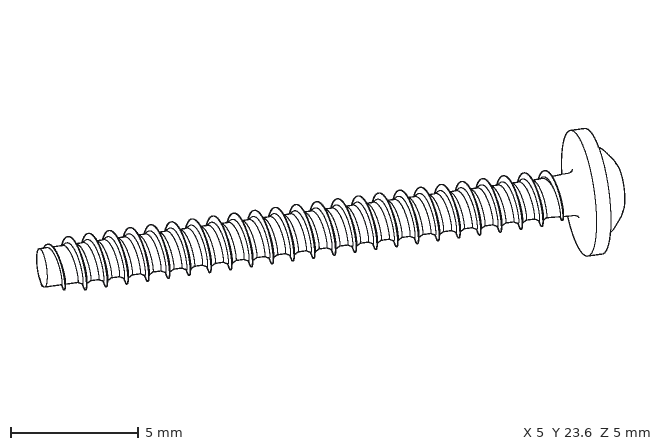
import cadquery as cq
import math

TOTAL_LENGTH = 23.6

FLANGE_DIAMETER = 5.0
FLANGE_THICKNESS = 0.6
HEAD_HEIGHT = 1.6
DOME_BASE_DIAMETER = 3.96
DOME_TOP_DIAMETER = 1.94
DOME_BULGE = 0.12
DOME_FILLET = 0.12

CORE_DIAMETER = 1.53
NECK_DIAMETER = 1.68
NECK_FILLET = 0.35
NECK_LENGTH = 0.57
TAPER_LENGTH = 1.18

THREAD_DIAMETER = 2.2
PITCH = 0.85
CREST_WIDTH = 0.02
SHOULDER_WIDTH = 0.17
SHOULDER_HEIGHT = 0.1
ROOT_WIDTH = 0.61
ROOT_EMBED = 0.02
RUNOUT_TURNS = 1.75
THREAD_START = -0.21
THREAD_END = 22.11
THREAD_SECTIONS = 23

ORIGIN = cq.Vector(0, 0, 0)
X_AXIS = cq.Vector(1, 0, 0)
Z_AXIS = cq.Vector(0, 0, 1)

underside_y = TOTAL_LENGTH - HEAD_HEIGHT
taper_top_y = underside_y - NECK_LENGTH
flange_top_y = underside_y + FLANGE_THICKNESS
core_radius = CORE_DIAMETER / 2
neck_radius = NECK_DIAMETER / 2
thread_depth = (THREAD_DIAMETER - CORE_DIAMETER) / 2


def make_body():
    """Revolve the head, neck and core about the Y axis."""
    dome_top = (DOME_TOP_DIAMETER / 2, TOTAL_LENGTH)
    dome_base = (DOME_BASE_DIAMETER / 2, flange_top_y)
    body = (
        cq.Workplane("XY")
        .lineTo(core_radius, 0)
        .lineTo(core_radius, taper_top_y - TAPER_LENGTH)
        .lineTo(neck_radius, taper_top_y)
        .lineTo(neck_radius, underside_y - NECK_FILLET)
        .radiusArc((neck_radius + NECK_FILLET, underside_y), NECK_FILLET)
        .lineTo(FLANGE_DIAMETER / 2, underside_y)
        .lineTo(FLANGE_DIAMETER / 2, flange_top_y)
        .lineTo(*dome_base)
        .sagittaArc(dome_top, -DOME_BULGE)
        .lineTo(0, TOTAL_LENGTH)
        .close()
        .revolve(360, (0, 0), (0, 1))
    )
    reach = (DOME_BASE_DIAMETER + FLANGE_DIAMETER) / 4
    dome_base_edge = cq.selectors.BoxSelector(
        (-reach, flange_top_y - DOME_FILLET, -reach),
        (reach, flange_top_y + DOME_FILLET, reach),
        boundingbox=True,
    )
    return body.edges(dome_base_edge).fillet(DOME_FILLET)


def helix(start_radius, end_radius, start, end):
    """Right-handed helical edge about Z from height start to end, its radius changing evenly."""
    height = end - start
    base = start
    if start_radius == end_radius:
        wire = cq.Wire.makeHelix(PITCH, height, start_radius)
    else:
        slope = math.atan2(abs(end_radius - start_radius), height)
        stretch = 1 / math.cos(slope)
        small_radius = min(start_radius, end_radius)
        wire = cq.Wire.makeHelix(PITCH * stretch, height * stretch, small_radius, angle=math.degrees(slope))
    if end_radius < start_radius:
        wire = wire.rotate(ORIGIN, X_AXIS, 180)
        base = end
    return wire.rotate(ORIGIN, Z_AXIS, 360 * base / PITCH).translate(Z_AXIS * base).Edges()[0]


def make_thread():
    """Build the thread about Z from height 0, with a run-out at each end, as one solid."""
    profile = [
        (core_radius - ROOT_EMBED, -ROOT_WIDTH / 2),
        (core_radius + SHOULDER_HEIGHT, -SHOULDER_WIDTH / 2),
        (core_radius + thread_depth, -CREST_WIDTH / 2),
        (core_radius + thread_depth, CREST_WIDTH / 2),
        (core_radius + SHOULDER_HEIGHT, SHOULDER_WIDTH / 2),
        (core_radius - ROOT_EMBED, ROOT_WIDTH / 2),
    ]
    length = THREAD_END - THREAD_START
    runout = RUNOUT_TURNS * PITCH
    section = (length - 2 * runout) / THREAD_SECTIONS
    stretches = [(0, runout, thread_depth, 0)]
    for index in range(THREAD_SECTIONS):
        section_start = runout + index * section
        stretches.append((section_start, section_start + section, 0, 0))
    stretches.append((length - runout, length, 0, thread_depth))
    faces = []
    for low, high, low_sink, high_sink in stretches:
        rails = []
        for radius, offset in profile:
            rail = helix(radius - low_sink, radius - high_sink, low, high)
            rails.append(rail.translate(Z_AXIS * offset))
        for rail, next_rail in zip(rails, rails[1:] + rails[:1]):
            faces.append(cq.Face.makeRuledSurface(rail, next_rail))
    for height in (0, length):
        corners = [cq.Vector(radius - thread_depth, 0, height + offset) for radius, offset in profile]
        cap = cq.Face.makeFromWires(cq.Wire.makePolygon(corners, close=True))
        faces.append(cap.rotate(ORIGIN, Z_AXIS, 360 * height / PITCH))
    return cq.Workplane(cq.Solid.makeSolid(cq.Shell.makeShell(faces)))


trim = cq.Workplane("XZ").circle(THREAD_DIAMETER).extrude(-taper_top_y)
thread = (
    make_thread()
    .rotate(ORIGIN, X_AXIS, -90)
    .translate((0, THREAD_START, 0))
    .intersect(trim)
)
result = make_body().union(thread)